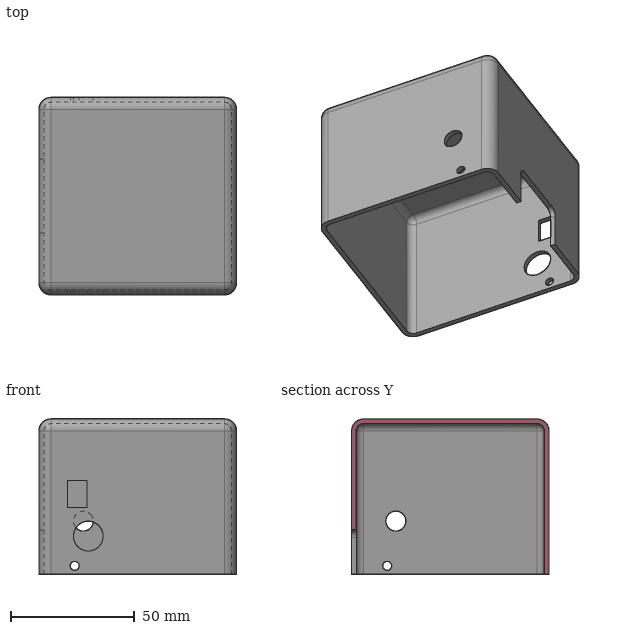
import cadquery as cq

side = 80.0
height = 63.0
wall = 2.0
outer_radius = 5.0
inner_radius = outer_radius - wall

notch_width = 30.0
notch_height = 18.0
notch_radius = 3.0

window_width = 8.0
window_height = 11.0
window_radius = 0.5
window_x = -24.5
window_z = 32.5

jack_diameter = 12.0
jack_center = (-20.0, 15.5)
cable_diameter = 8.0
cable_center = (-22.0, 21.6)
pin_diameter = 3.5
pin_center = (-25.5, 3.5)

cut_depth = 2 * wall
front_y = -side / 2
back_y = side / 2


def rounded_block(width, top, radius):
    """Square block standing on z = 0 with its upright and top edges rounded."""
    block = cq.Workplane("XY").box(width, width, top, centered=(True, True, False))
    return block.edges("|Z or >Z").fillet(radius)


def hollow_cover():
    outside = rounded_block(side, height, outer_radius)
    inside = rounded_block(side - 2 * wall, height - wall, inner_radius)
    return outside.cut(inside)


def notch_cutter():
    """Round-topped block running through the -X wall, reaching below the bottom edge."""
    block = cq.Workplane("XY").box(2 * cut_depth, notch_width, 2 * notch_height)
    return block.edges("|X and >Z").fillet(notch_radius).translate((-side / 2, 0, 0))


def window_cutter():
    block = cq.Workplane("XY").box(window_width, 2 * cut_depth, window_height)
    return block.edges("|Y").fillet(window_radius).translate((window_x, front_y, window_z))


def wall_hole(diameter, center, wall_y):
    """Cylinder along Y that pierces the wall whose outer face lies at wall_y."""
    x, z = center
    start = cq.Vector(x, wall_y - cut_depth, z)
    cylinder = cq.Solid.makeCylinder(diameter / 2, 2 * cut_depth, start, cq.Vector(0, 1, 0))
    return cq.Workplane(cylinder)


result = (
    hollow_cover()
    .cut(notch_cutter())
    .cut(window_cutter())
    .cut(wall_hole(jack_diameter, jack_center, front_y))
    .cut(wall_hole(cable_diameter, cable_center, back_y))
)

for wall_y in (front_y, back_y):
    result = result.cut(wall_hole(pin_diameter, pin_center, wall_y))